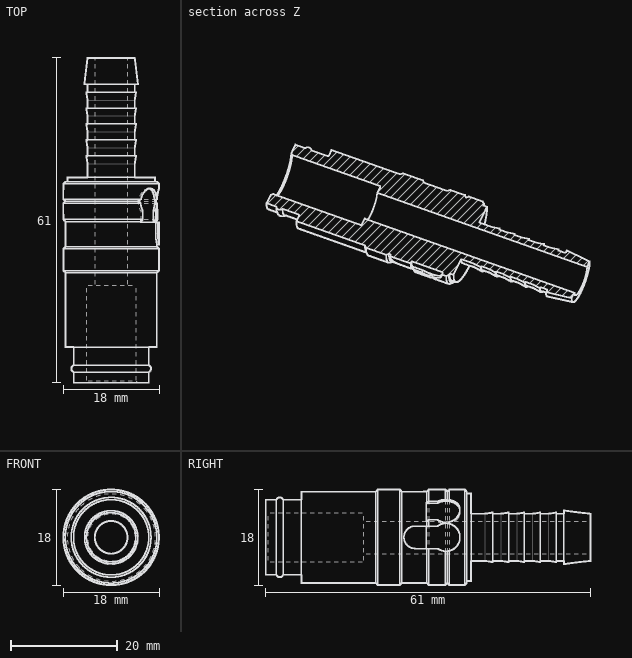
import cadquery as cq

LENGTH = 61.0
FRONT_Y = -LENGTH / 2

PLUG_RADIUS = 7.1
PLUG_LENGTH = 6.7
BEAD_RADIUS = 7.5
BEAD_START = 2.0
BEAD_WIDTH = 1.3

SLEEVE_RADIUS = 8.6
COLLAR_RADIUS = 9.0
COLLAR_CHAMFER = COLLAR_RADIUS - SLEEVE_RADIUS
COLLARS = [(20.7, 25.55), (30.25, 34.1), (34.1, 37.75)]
SHOULDER_RADIUS = 8.25
SHOULDER_END = 38.55

STEM_RADIUS = 4.45
RIB_RADIUS = 4.7
RIB_COUNT = 5
RIB_PITCH = 3.0
RIB_LENGTH = RIB_PITCH / 2
FIRST_RIB_START = 41.1
BARB_START = 56.0
BARB_RADIUS = 5.05

BORE_RADIUS = 3.05
SOCKET_RADIUS = 4.65
SOCKET_MOUTH_RADIUS = 5.0
SOCKET_CHAMFER = SOCKET_MOUTH_RADIUS - SOCKET_RADIUS
SOCKET_DEPTH = 18.3

RECESS_ANGLES = [0.0, 35.0]
RECESS_FLOOR_RADIUS = 8.5
RECESS_START = 30.15
RECESS_SLOT_WIDTH = 4.2
RECESS_HEAD_RADIUS = 2.6
RECESS_HEAD_Y = 33.85

BOSS_WIDTH = RECESS_SLOT_WIDTH
BOSS_ROUND_Y = 28.05
BOSS_END = RECESS_START


def ring(start, end, start_radius, end_radius=None):
    """Solid cone or cylinder on the Y axis between two distances from the plug face."""
    if end_radius is None:
        end_radius = start_radius
    profile = [(0, start), (start_radius, start), (end_radius, end), (0, end)]
    solid = cq.Workplane("XY").polyline(profile).close().revolve(360, (0, 0), (0, 1))
    return solid.translate((0, FRONT_Y, 0))


def chamfered_ring(start, end, radius, chamfer):
    return ring(start, end, radius).faces("<Y or >Y").edges().chamfer(chamfer)


def bead():
    """Round-topped bead around the plug end."""
    end = BEAD_START + BEAD_WIDTH
    middle = (BEAD_START + end) / 2
    profile = cq.Workplane("XY").moveTo(0, BEAD_START).lineTo(PLUG_RADIUS, BEAD_START)
    profile = profile.threePointArc((BEAD_RADIUS, middle), (PLUG_RADIUS, end)).lineTo(0, end).close()
    return profile.revolve(360, (0, 0), (0, 1)).translate((0, FRONT_Y, 0))


def turned_body():
    body = ring(0, PLUG_LENGTH, PLUG_RADIUS)
    body = body.union(bead())
    body = body.union(ring(PLUG_LENGTH, COLLARS[-1][0], SLEEVE_RADIUS))
    for start, end in COLLARS:
        body = body.union(chamfered_ring(start, end, COLLAR_RADIUS, COLLAR_CHAMFER))
    body = body.union(ring(COLLARS[-1][1], SHOULDER_END, SHOULDER_RADIUS))
    body = body.union(ring(SHOULDER_END, BARB_START, STEM_RADIUS))
    for index in range(RIB_COUNT):
        start = FIRST_RIB_START + index * RIB_PITCH
        body = body.union(ring(start, start + RIB_LENGTH, STEM_RADIUS, RIB_RADIUS))
    return body.union(ring(BARB_START, LENGTH, BARB_RADIUS, STEM_RADIUS))


def keyhole_recess(angle):
    slot_length = RECESS_HEAD_Y - RECESS_START
    plane = cq.Workplane("YZ")
    head = plane.center(FRONT_Y + RECESS_HEAD_Y, 0).circle(RECESS_HEAD_RADIUS).extrude(COLLAR_RADIUS)
    slot = plane.center(FRONT_Y + RECESS_START + slot_length / 2, 0)
    slot = slot.rect(slot_length, RECESS_SLOT_WIDTH).extrude(COLLAR_RADIUS)
    cutter = head.union(slot).rotate((0, 0, 0), (0, 1, 0), -angle)
    return cutter.cut(ring(0, LENGTH, RECESS_FLOOR_RADIUS))


def index_boss():
    round_y = FRONT_Y + BOSS_ROUND_Y
    end_y = FRONT_Y + BOSS_END
    half = BOSS_WIDTH / 2
    outline = cq.Workplane("YZ").moveTo(end_y, -half).lineTo(end_y, half).lineTo(round_y, half)
    outline = outline.threePointArc((round_y - half, 0), (round_y, -half)).close()
    return outline.extrude(COLLAR_RADIUS).intersect(ring(0, LENGTH, COLLAR_RADIUS))


def bore():
    passage = ring(0, LENGTH, BORE_RADIUS)
    socket = ring(0, SOCKET_DEPTH, SOCKET_RADIUS)
    mouth = ring(0, SOCKET_CHAMFER, SOCKET_MOUTH_RADIUS, SOCKET_RADIUS)
    return passage.union(socket).union(mouth)


result = turned_body()
for recess_angle in RECESS_ANGLES:
    result = result.cut(keyhole_recess(recess_angle))
result = result.union(index_boss())
result = result.cut(bore())